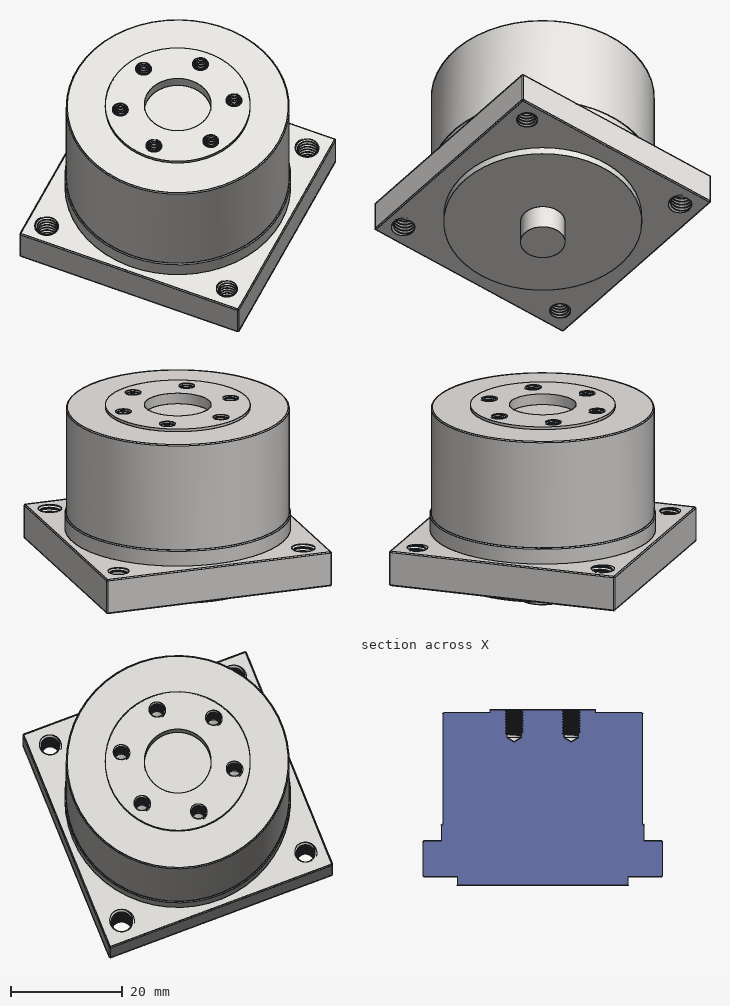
import cadquery as cq
import math

plate_size = 43.0
plate_thickness = 6.5
plate_edge_break = 0.2

shaft_diameter = 8.0
shaft_length = 5.0
pilot_diameter = 35.5
pilot_height = 1.5
collar_diameter = 40.5
collar_height = 3.0
collar_edge_break = 0.2
body_diameter = 40.0
body_height = 20.0
body_edge_break = 0.2
output_diameter = 26.0
output_height = 0.5
recess_diameter = 12.0
recess_depth = 2.0

output_bore, output_major, output_pitch = 2.53, 3.09, 0.5
small_bore, small_major, small_pitch = 3.33, 4.11, 0.7
large_bore, large_major, large_pitch = 3.78, 4.61, 0.75

output_hole_count = 6
output_hole_circle = 20.5
output_first_angle = 90.0
output_hole_depth = 5.0
output_thread_length = output_hole_depth - output_pitch
drill_point_angle = 118.0
plate_hole_circle = 50.0

root_fraction = 1 / 8
mouth_fraction = 3 / 4
thread_overlap = 0.05
thread_start_angle = 270.0
bore_overrun = 1.0

plate_top = plate_thickness
collar_top = plate_top + collar_height
body_top = collar_top + body_height
output_top = body_top + output_height
pilot_bottom = -pilot_height


def disc(diameter, bottom, height):
    """Solid cylinder on the Z axis."""
    return cq.Workplane("XY").workplane(offset=bottom).circle(diameter / 2).extrude(height)


def mounting_plate():
    plate = cq.Workplane("XY").box(plate_size, plate_size, plate_thickness, centered=(True, True, False))
    return plate.edges().chamfer(plate_edge_break)


def housing():
    body = disc(body_diameter, collar_top, body_height).faces(">Z").edges().chamfer(body_edge_break)
    collar = disc(collar_diameter, plate_top, collar_height).faces(">Z").edges().chamfer(collar_edge_break)
    solid = mounting_plate()
    solid = solid.union(disc(shaft_diameter, pilot_bottom - shaft_length, shaft_length))
    solid = solid.union(disc(pilot_diameter, pilot_bottom, pilot_height))
    solid = solid.union(collar)
    solid = solid.union(body)
    solid = solid.union(disc(output_diameter, body_top, output_height))
    return solid.cut(disc(recess_diameter, output_top - recess_depth, recess_depth))


def thread_groove(bore, major, pitch, length):
    """Right-hand helical groove cutter that crosses Z = 0 on the -Y side and runs on for a turn above it."""
    inner = bore / 2 - thread_overlap
    outer = major / 2
    half_root = root_fraction * pitch / 2
    half_mouth = mouth_fraction * pitch / 2
    flank_slope = (half_mouth - half_root) / (outer - bore / 2)
    half_inner = half_mouth + flank_slope * thread_overlap
    turns_below = math.ceil(length / pitch)
    helix = cq.Wire.makeHelix(pitch, (turns_below + 1) * pitch, bore / 2)
    profile = (
        cq.Workplane("XZ")
        .moveTo(inner, -half_inner)
        .lineTo(outer, -half_root)
        .lineTo(outer, half_root)
        .lineTo(inner, half_inner)
        .close()
    )
    groove = profile.sweep(cq.Workplane(helix), isFrenet=True)
    groove = groove.rotate((0, 0, 0), (0, 0, 1), thread_start_angle)
    return groove.translate((0, 0, -turns_below * pitch))


def cut_tapped_holes(solid, points, top, bore, major, pitch, depth, thread_length):
    """Cut the same threaded bore at every point, its mouth at the level top."""
    cutter = disc(bore, -depth, depth + bore_overrun)
    cutter = cutter.union(thread_groove(bore, major, pitch, thread_length))
    for x, y in points:
        solid = solid.cut(cutter.translate((x, y, top)))
    return solid


def cut_plate_holes(solid, points, bore, major, pitch):
    """Tapped holes right through the plate, threaded over their whole length."""
    depth = plate_thickness + bore_overrun
    return cut_tapped_holes(solid, points, plate_top, bore, major, pitch, depth, depth)


def output_hole_points():
    radius = output_hole_circle / 2
    step = 360 / output_hole_count
    angles = [math.radians(output_first_angle + i * step) for i in range(output_hole_count)]
    return [(radius * math.cos(angle), radius * math.sin(angle)) for angle in angles]


def cut_drill_points(solid, points):
    """Conical bottoms of the output holes."""
    radius = output_bore / 2
    height = radius / math.tan(math.radians(drill_point_angle / 2))
    cone = cq.Workplane("XZ").lineTo(radius, 0).lineTo(0, -height).close().revolve(360, (0, 0), (0, 1))
    floor = output_top - output_hole_depth
    for x, y in points:
        solid = solid.cut(cone.translate((x, y, floor)))
    return solid


corner = plate_hole_circle / 2 / math.sqrt(2)
small_points = [(-corner, corner), (corner, -corner)]
large_points = [(corner, corner), (-corner, -corner)]
ring_points = output_hole_points()

result = housing()
result = cut_drill_points(result, ring_points)
result = cut_tapped_holes(
    result, ring_points, output_top, output_bore, output_major, output_pitch,
    output_hole_depth, output_thread_length,
)
result = cut_plate_holes(result, small_points, small_bore, small_major, small_pitch)
result = cut_plate_holes(result, large_points, large_bore, large_major, large_pitch)